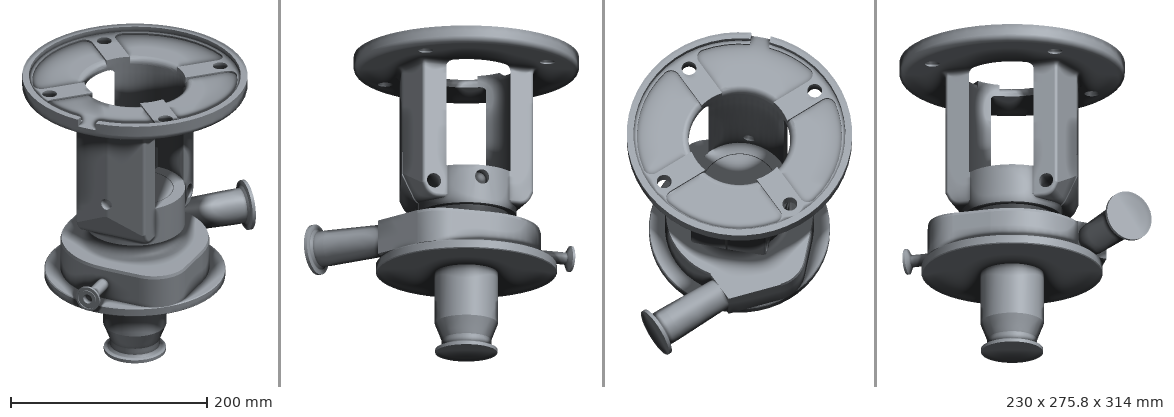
import cadquery as cq
import math

TOP_Z = 314.0
PLATE_R = 115.0
PLATE_THICK = 17.3
PLATE_EDGE_FILLET = 6.3
RIM_R = 108.0
RIM_DEPTH = 5.3
POCKET_R = 104.5
POCKET_DEPTH = 7.5
POCKET_FILLET = 8.8
SPOKE_WIDTH = 25.0
NOTCH_WIDTH = 19.8
BOLT_CIRCLE_R = 92.3
BOLT_HOLE_R = 7.5
MOUTH_ROUND = 6.3

BORE_R = 51.8
COLLAR_R = 51.2
COLLAR_BOTTOM_Z = 145.0
COLLAR_TOP_Z = 185.3
LEG_HALF_WIDTH = 39.0
LEG_SIDE_Y = 59.0
LEG_RIDGE_Y = 69.5
LEG_RIDGE_FILLET = 11.0
LEG_EDGE_FILLET = 3.5
TOE_FILLET = 14.0
LEG_BOTTOM_Z = 151.5
LEG_ROOT_FILLET = 5.0
TOE_Z = 184.3
TOE_ANGLE = 27.0
PEEP_HOLE_R = 6.0
PEEP_HOLE_Z = 197.8
SLIT_WIDTH = 2.8
SLIT_TOP_Z = 207.2
CLAMP_HOLE_R = 7.5
CLAMP_HOLE_Y = 47.7
CLAMP_HOLE_Z = 168.0
COLLAR_HOLE_Z = 173.0
SHAFT_R = 39.5
SHAFT_GAP = 0.5
SHAFT_GAP_DEPTH = 1.5

NECK_R = 44.0
NECK_FLARE = 10.0
HOUSING_BOTTOM_Z = 94.0
HOUSING_TOP_Z = 129.0
HOUSING_HALF = 76.0
HOUSING_CORNER_R = 35.2
HOUSING_EDGE_HEIGHT = 3.0
HOUSING_EDGE_INSET = 1.0
SPOUT_WALL_ANGLE = 118.0
SPOUT_FACE_U = 63.5
BASE_R = 92.3
BASE_BOTTOM_Z = 84.5
BASE_EDGE_CHAMFER = 1.0

FERRULE_RIM_THICK = 3.5
FERRULE_BACK_HEIGHT = 1.0
FERRULE_ROOT_HEIGHT = 2.2
FERRULE_ROOT_WIDTH = 2.5

INLET_R = 32.3
INLET_CONE_TOP_Z = 31.0
INLET_CONE_BOTTOM_Z = 13.5
INLET_END_R = 25.5
INLET_RIM_R = 31.7

OUTLET_ANGLE = 45.0
OUTLET_OFFSET = 58.7
OUTLET_Z = 112.5
OUTLET_END_U = 143.0
OUTLET_CONE_END_U = 124.7
OUTLET_BASE_R = 16.3
OUTLET_R = 18.2
OUTLET_RIM_R = 25.7

DRAIN_Z = 110.0
DRAIN_END_Y = -112.7
DRAIN_R = 6.3
DRAIN_RIM_THICK = 2.5
DRAIN_FLARE_HEIGHT = 3.8
DRAIN_RIM_R = 13.2
DRAIN_BORE_R = 5.0
DRAIN_BORE_DEPTH = 6.3
SEAL_GROOVE_R = 10.0
SEAL_GROOVE_WIDTH = 2.0
SEAL_GROOVE_DEPTH = 1.0

PLATE_BOTTOM_Z = TOP_Z - PLATE_THICK
POCKET_Z = TOP_Z - POCKET_DEPTH
SEAT_Z = LEG_BOTTOM_Z + LEG_EDGE_FILLET


def disc(radius, bottom, top):
    return cq.Workplane("XY").workplane(offset=bottom).circle(radius).extrude(top - bottom)


def block(x_range, y_range, z_range):
    size = [high - low for low, high in (x_range, y_range, z_range)]
    low_corner = (x_range[0], y_range[0], z_range[0])
    return cq.Workplane("XY").box(*size, centered=False).translate(low_corner)


def turned(points):
    """Solid of revolution about Z from (radius, z) points."""
    return cq.Workplane("XZ").polyline(points).close().revolve(360, (0, 0), (0, 1))


def leg(turn):
    """One leg with a ridged outer face and a sloping toe."""
    outline = [
        (-LEG_HALF_WIDTH, 0),
        (-LEG_HALF_WIDTH, -LEG_SIDE_Y),
        (0, -LEG_RIDGE_Y),
        (LEG_HALF_WIDTH, -LEG_SIDE_Y),
        (LEG_HALF_WIDTH, 0),
    ]
    body = (
        cq.Workplane("XY").workplane(offset=LEG_BOTTOM_Z)
        .polyline(outline).close().extrude(PLATE_BOTTOM_Z - LEG_BOTTOM_Z)
    )
    toe_drop = TOE_Z - LEG_BOTTOM_Z
    toe_run = toe_drop * math.tan(math.radians(TOE_ANGLE))
    toe = (
        cq.Workplane("YZ", origin=(-LEG_HALF_WIDTH, 0, 0))
        .polyline([
            (-LEG_RIDGE_Y, TOE_Z),
            (-LEG_RIDGE_Y, LEG_BOTTOM_Z),
            (-LEG_RIDGE_Y + toe_run, LEG_BOTTOM_Z),
        ])
        .close().extrude(2 * LEG_HALF_WIDTH)
    )
    mid_z = (LEG_BOTTOM_Z + PLATE_BOTTOM_Z) / 2
    ridge = cq.selectors.NearestToPointSelector((0, -LEG_RIDGE_Y, mid_z))
    body = body.edges(ridge).fillet(LEG_RIDGE_FILLET)
    body = body.cut(toe)
    body = body.faces("<Z").edges("<Y").fillet(TOE_FILLET)
    body = body.faces("<X or >X").edges("not (>Y or >Z)").fillet(LEG_EDGE_FILLET)
    return body.rotate((0, 0, 0), (0, 0, 1), turn)


def plate_pocket(turn):
    """Quarter pocket between two spokes, with its inner edge rounded into the bore."""
    start = SPOKE_WIDTH / 2 * math.sqrt(2)
    wedge = (
        cq.Workplane("XY").workplane(offset=PLATE_BOTTOM_Z)
        .polyline([(0, start), (PLATE_R, start + PLATE_R), (-PLATE_R, start + PLATE_R)])
        .close().extrude(PLATE_THICK)
    )
    sector = wedge.intersect(disc(POCKET_R, PLATE_BOTTOM_Z, TOP_Z))
    sector = sector.edges("|Z").edges(">X or <X").fillet(POCKET_FILLET)
    mouth = (
        cq.Workplane("XZ")
        .moveTo(0, TOP_Z)
        .lineTo(POCKET_R, TOP_Z)
        .lineTo(POCKET_R, POCKET_Z)
        .lineTo(BORE_R + MOUTH_ROUND, POCKET_Z)
        .radiusArc((BORE_R, POCKET_Z - MOUTH_ROUND), -MOUTH_ROUND)
        .lineTo(0, POCKET_Z - MOUTH_ROUND)
        .close().revolve(360, (0, 0), (0, 1))
    )
    return sector.intersect(mouth).rotate((0, 0, 0), (0, 0, 1), turn)


def bracket():
    """Mounting plate on two legs, bored through."""
    plate = disc(PLATE_R, PLATE_BOTTOM_Z, TOP_Z).faces("<Z").edges().fillet(PLATE_EDGE_FILLET)
    body = plate.union(leg(0)).union(leg(180))
    body = body.cut(disc(BORE_R, COLLAR_BOTTOM_Z, TOP_Z))
    half_thin = LEG_ROOT_FILLET / 2
    roots = cq.selectors.BoxSelector(
        (-LEG_RIDGE_Y, -LEG_RIDGE_Y, PLATE_BOTTOM_Z - half_thin),
        (LEG_RIDGE_Y, LEG_RIDGE_Y, PLATE_BOTTOM_Z + half_thin),
    )
    body = body.edges(roots).edges("not %CIRCLE").fillet(LEG_ROOT_FILLET)
    body = body.cut(disc(RIM_R, TOP_Z - RIM_DEPTH, TOP_Z))
    for quarter in range(4):
        body = body.cut(plate_pocket(90 * quarter))
    half_notch = NOTCH_WIDTH / 2
    notch = block((-half_notch, half_notch), (-PLATE_R, -BOLT_CIRCLE_R), (POCKET_Z, TOP_Z))
    body = body.cut(notch)
    bolt_holes = (
        cq.Workplane("XY").workplane(offset=PLATE_BOTTOM_Z)
        .polarArray(BOLT_CIRCLE_R, 45, 360, 4).circle(BOLT_HOLE_R).extrude(PLATE_THICK)
    )
    return body.cut(bolt_holes)


def housing():
    """Volute: a block with two tight and two full round corners, plus the outlet spout."""
    half = HOUSING_HALF
    height = HOUSING_TOP_Z - HOUSING_BOTTOM_Z
    centre = half - HOUSING_CORNER_R
    bend = math.sqrt(0.5)
    tight = centre + HOUSING_CORNER_R * bend
    body = (
        cq.Workplane("XY").workplane(offset=HOUSING_BOTTOM_Z)
        .moveTo(-half, 0)
        .threePointArc((-half * bend, -half * bend), (0, -half))
        .lineTo(centre, -half)
        .threePointArc((tight, -tight), (half, -centre))
        .lineTo(half, 0)
        .threePointArc((half * bend, half * bend), (0, half))
        .lineTo(-centre, half)
        .threePointArc((-tight, tight), (-half, centre))
        .close().extrude(height)
    )
    body = body.faces(">Z").edges().chamfer(HOUSING_EDGE_HEIGHT, HOUSING_EDGE_INSET)

    normal_x = math.cos(math.radians(SPOUT_WALL_ANGLE))
    normal_y = math.sin(math.radians(SPOUT_WALL_ANGLE))
    wall_start = (-centre + HOUSING_CORNER_R * normal_x, centre + HOUSING_CORNER_R * normal_y)
    wall_reach = wall_start[0] * normal_x + wall_start[1] * normal_y
    face_reach = SPOUT_FACE_U / bend
    tip_x = (wall_reach - normal_y * face_reach) / (normal_x - normal_y)
    face_turn = math.radians(OUTLET_ANGLE) + math.acos(SPOUT_FACE_U / half)
    face_end = (half * math.cos(face_turn), half * math.sin(face_turn))
    spout = (
        cq.Workplane("XY").workplane(offset=HOUSING_BOTTOM_Z)
        .polyline([(0, 0), wall_start, (tip_x, face_reach - tip_x), face_end])
        .close().extrude(height)
    )
    return body.union(spout)


def neck():
    """Neck flaring out on to the housing with a concave round."""
    foot_r = NECK_R + NECK_FLARE
    return (
        cq.Workplane("XZ")
        .moveTo(0, HOUSING_BOTTOM_Z)
        .lineTo(foot_r, HOUSING_BOTTOM_Z)
        .lineTo(foot_r, HOUSING_TOP_Z)
        .radiusArc((NECK_R, HOUSING_TOP_Z + NECK_FLARE), NECK_FLARE)
        .lineTo(NECK_R, COLLAR_BOTTOM_Z)
        .lineTo(0, COLLAR_BOTTOM_Z)
        .close().revolve(360, (0, 0), (0, 1))
    )


def base_flange():
    body = disc(BASE_R, BASE_BOTTOM_Z, HOUSING_BOTTOM_Z)
    return body.edges().chamfer(BASE_EDGE_CHAMFER)


def ferrule_points(pipe_r, rim_r):
    """Profile of a ferrule standing on its face, from the axis out and up to the pipe."""
    back_z = FERRULE_RIM_THICK + FERRULE_BACK_HEIGHT
    return [
        (0, 0),
        (rim_r, 0),
        (rim_r, FERRULE_RIM_THICK),
        (pipe_r + FERRULE_ROOT_WIDTH, back_z),
        (pipe_r, back_z + FERRULE_ROOT_HEIGHT),
    ]


def inlet():
    return turned([
        *ferrule_points(INLET_END_R, INLET_RIM_R),
        (INLET_END_R, INLET_CONE_BOTTOM_Z),
        (INLET_R, INLET_CONE_TOP_Z),
        (INLET_R, BASE_BOTTOM_Z),
        (0, BASE_BOTTOM_Z),
    ])


def outlet():
    """Tangential pipe widening to a ferrule, turned about Z and then laid along its axis."""
    cone_end = OUTLET_END_U - OUTLET_CONE_END_U
    cone_start = OUTLET_END_U - SPOUT_FACE_U
    buried_end = cone_start + 2 * OUTLET_BASE_R
    pipe = turned([
        *ferrule_points(OUTLET_R, OUTLET_RIM_R),
        (OUTLET_R, cone_end),
        (OUTLET_BASE_R, cone_start),
        (OUTLET_BASE_R, buried_end),
        (0, buried_end),
    ])
    lying = pipe.rotate((0, 0, 0), (0, 1, 0), -90).translate((OUTLET_END_U, OUTLET_OFFSET, OUTLET_Z))
    return lying.rotate((0, 0, 0), (0, 0, 1), OUTLET_ANGLE)


def drain():
    """Small ferruled port with a blind bore and a seal groove in its face."""
    length = -DRAIN_END_Y
    start = HOUSING_HALF - DRAIN_R
    groove_in = SEAL_GROOVE_R - SEAL_GROOVE_WIDTH / 2
    groove_out = SEAL_GROOVE_R + SEAL_GROOVE_WIDTH / 2
    port = turned([
        (0, start),
        (DRAIN_R, start),
        (DRAIN_R, length - DRAIN_RIM_THICK - DRAIN_FLARE_HEIGHT),
        (DRAIN_RIM_R, length - DRAIN_RIM_THICK),
        (DRAIN_RIM_R, length),
        (groove_out, length),
        (groove_out, length - SEAL_GROOVE_DEPTH),
        (groove_in, length - SEAL_GROOVE_DEPTH),
        (groove_in, length),
        (DRAIN_BORE_R, length),
        (DRAIN_BORE_R, length - DRAIN_BORE_DEPTH),
        (0, length - DRAIN_BORE_DEPTH),
    ])
    return port.rotate((0, 0, 0), (1, 0, 0), 90).translate((0, 0, DRAIN_Z))


def cut_clamp(body):
    """Cut the clamping slit, the screw hole, the peep hole and the shaft groove."""
    groove = disc(SHAFT_R, COLLAR_TOP_Z - SHAFT_GAP_DEPTH, COLLAR_TOP_Z)
    groove = groove.cut(disc(SHAFT_R - SHAFT_GAP, COLLAR_TOP_Z - SHAFT_GAP_DEPTH, COLLAR_TOP_Z))
    half_slit = SLIT_WIDTH / 2
    slit = block((-half_slit, half_slit), (SHAFT_R, LEG_RIDGE_Y), (COLLAR_BOTTOM_Z, SLIT_TOP_Z))
    clamp_hole = (
        cq.Workplane("YZ").center(CLAMP_HOLE_Y, CLAMP_HOLE_Z)
        .circle(CLAMP_HOLE_R).extrude(PLATE_R, both=True)
    )
    collar_hole = (
        cq.Workplane("YZ", origin=(-COLLAR_R, 0, COLLAR_HOLE_Z))
        .circle(CLAMP_HOLE_R).extrude(COLLAR_R - SHAFT_R)
    )
    peep_hole = (
        cq.Workplane("XZ", origin=(0, 0, PEEP_HOLE_Z)).circle(PEEP_HOLE_R).extrude(LEG_RIDGE_Y)
    )
    for tool in (groove, slit, clamp_hole, collar_hole, peep_hole):
        body = body.cut(tool)
    return body


leg_seat = disc(BORE_R, SEAT_Z, COLLAR_TOP_Z).intersect(
    block((-LEG_HALF_WIDTH, LEG_HALF_WIDTH), (-BORE_R, BORE_R), (SEAT_Z, COLLAR_TOP_Z))
)
result = bracket().union(leg_seat)
for piece in (disc(COLLAR_R, COLLAR_BOTTOM_Z, COLLAR_TOP_Z), neck(), housing(), base_flange()):
    result = result.union(piece)
for port in (inlet(), outlet(), drain()):
    result = result.union(port)
result = cut_clamp(result)